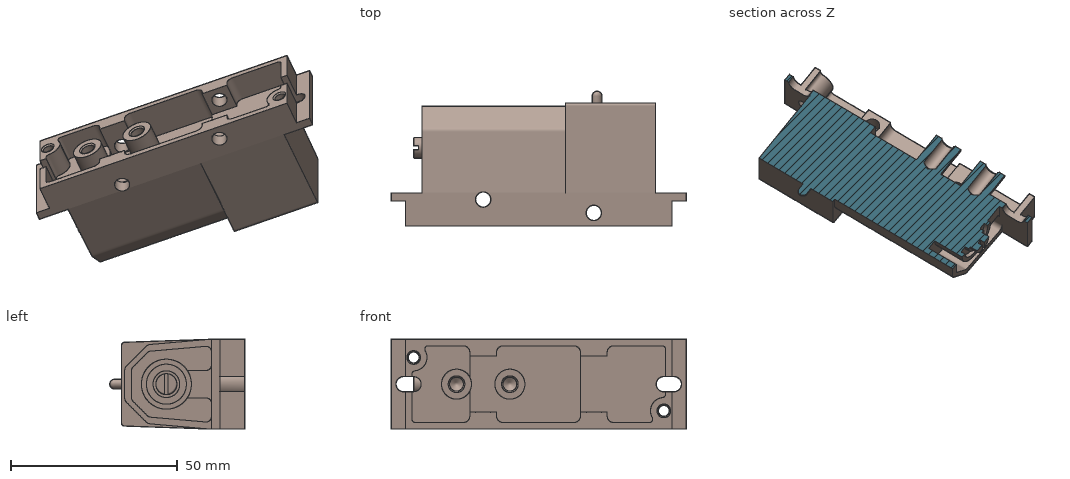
import cadquery as cq
import math

WIDTH_Z = 27.0
BODY_LENGTH = 80.0
BASE_HEIGHT = 10.0
FLANGE_LENGTH = 88.5
FLANGE_START = 7.5
SLOT_X = 39.0
SLOT_LENGTH = 7.5
SLOT_WIDTH = 4.5

CAVITY_LENGTH = 76.0
CAVITY_WIDTH = 23.0
CAVITY_DEPTH = 8.0
DEEP_CAVITY_DEPTH = 10.5
CAVITY_CORNER_RADIUS = 1.0
LEFT_PAD_X = -16.65
RIGHT_PAD_X = 16.5
PAD_LENGTH = 8.0
PAD_GAP = 16.8
PAD_CORNER_RADIUS = 2.0
CROSS_HOLE_DIAMETER = 4.5
LEFT_CROSS_HOLE_Y = 8.0
RIGHT_CROSS_HOLE_Y = 4.0

LUG_X = 37.5
LUG_Z = 8.0
LUG_RADIUS = 4.0
LUG_HOLE_DIAMETER = 3.24
LUG_SINK_DIAMETER = 4.1
BOSS_SPACING = 16.0
BOSS_XS = (LEFT_PAD_X - BOSS_SPACING / 2, LEFT_PAD_X + BOSS_SPACING / 2)
BOSS_DIAMETER = 9.0
BOSS_HOLE_DIAMETER = 4.13
BOSS_SINK_DIAMETER = 5.0
BOSS_HOLE_DEPTH = 10.0
DRILL_POINT_ANGLE = 118.0

HOUSING_START = -35.0
BLOCK_START = 8.0
HOUSING_END = 35.0
HOUSING_TOP = 36.0
HOUSING_TAPER = 5.0
HOUSING_TOP_HALF = 4.9
HOUSING_RADIUS = 2.0
BLOCK_TOP = 37.0
BLOCK_TAPER = 2.0
BLOCK_RADIUS = 1.0

HOUSING_WALL = 2.0
SHOULDER_WALL = 1.6
POCKET_DEPTH = 10.0
POCKET_CORNER_RADIUS = 1.6
POCKET_EDGE_RADIUS = 1.5
SCREW_Y = 23.5
RING_DIAMETER = 15.0
RING_RECESS_DIAMETER = 12.0
RING_RECESS_DEPTH = 1.3
HUB_DIAMETER = 8.0
RIB_WIDTH = 8.25
RIB_SETBACK = 1.0
SCREW_DIAMETER = 6.3
SCREW_HEIGHT = 2.5
SCREW_EDGE_RADIUS = 0.4
SCREW_SLOT_WIDTH = 1.1
SCREW_SLOT_DEPTH = 1.4

PIN_X = 17.5
PIN_DIAMETER = 3.0
PIN_TIP = 40.5
PIN_EMBED = 3.0

PICK_TOLERANCE = 0.01


def box(x_start, x_end, y_start, y_end, width_z):
    """Box centred on Z = 0."""
    size = (x_end - x_start, y_end - y_start, width_z)
    return cq.Workplane("XY").box(*size).translate(((x_start + x_end) / 2, (y_start + y_end) / 2, 0))


def rod_y(x, z, diameter, y_start, y_end):
    """Cylinder along Y."""
    plane = cq.Workplane("XZ", origin=(x, y_start, z))
    return plane.circle(diameter / 2).extrude(y_start - y_end)


def rod_x(diameter, x_start, x_end):
    """Cylinder on the screw axis."""
    plane = cq.Workplane("YZ", origin=(x_start, SCREW_Y, 0))
    return plane.circle(diameter / 2).extrude(x_end - x_start)


def lug_places():
    return ((-LUG_X, LUG_Z), (LUG_X, -LUG_Z))


def base_plate():
    body = box(-BODY_LENGTH / 2, BODY_LENGTH / 2, 0, BASE_HEIGHT, WIDTH_Z)
    flange = box(-FLANGE_LENGTH / 2, FLANGE_LENGTH / 2, FLANGE_START, BASE_HEIGHT, WIDTH_Z)
    return body.union(flange)


def cavity_outline(depth):
    """Cavity volume of constant depth, narrowed by the pads and the corner lugs."""
    volume = box(-CAVITY_LENGTH / 2, CAVITY_LENGTH / 2, 0, depth, CAVITY_WIDTH)
    for x in (LEFT_PAD_X, RIGHT_PAD_X):
        pads = box(x - PAD_LENGTH / 2, x + PAD_LENGTH / 2, 0, depth, CAVITY_WIDTH)
        volume = volume.cut(pads.cut(box(-CAVITY_LENGTH, CAVITY_LENGTH, 0, depth, PAD_GAP)))
    for x, z in lug_places():
        volume = volume.cut(rod_y(x, z, 2 * LUG_RADIUS, 0, depth))

    def on_outer_wall(edge):
        at = edge.Center()
        on_side = abs(abs(at.z) - CAVITY_WIDTH / 2) < PICK_TOLERANCE
        on_end = abs(abs(at.x) - CAVITY_LENGTH / 2) < PICK_TOLERANCE
        return on_side or on_end

    def beside_pad(edge):
        return abs(edge.Center().x) < RIGHT_PAD_X + PAD_LENGTH

    pad_corners = volume.edges("|Y").filter(lambda e: on_outer_wall(e) and beside_pad(e))
    volume = pad_corners.fillet(PAD_CORNER_RADIUS)
    corners = volume.edges("|Y").filter(lambda e: on_outer_wall(e) and not beside_pad(e))
    return corners.fillet(CAVITY_CORNER_RADIUS)


def cavity():
    middle = box(LEFT_PAD_X - PAD_LENGTH / 2, RIGHT_PAD_X - PAD_LENGTH / 2, 0, DEEP_CAVITY_DEPTH, WIDTH_Z)
    deep = cavity_outline(DEEP_CAVITY_DEPTH).intersect(middle)
    return cavity_outline(CAVITY_DEPTH).union(deep)


def sunk_hole(x, z, diameter, sink_diameter, depth, point):
    """Hole along Y from Y = 0 with a 45 degree sunk mouth and a conical end of the given length."""
    radius = diameter / 2
    sink_radius = sink_diameter / 2
    profile = [(0, 0), (sink_radius, 0), (radius, sink_radius - radius), (radius, depth), (0, depth + point)]
    hole = cq.Workplane("XY").polyline(profile).close().revolve(360, (0, 0, 0), (0, 1, 0))
    return hole.translate((x, 0, z))


def boss_hole(x):
    point = BOSS_HOLE_DIAMETER / 2 / math.tan(math.radians(DRILL_POINT_ANGLE / 2))
    return sunk_hole(x, 0, BOSS_HOLE_DIAMETER, BOSS_SINK_DIAMETER, BOSS_HOLE_DEPTH, point)


def lug_hole(x, z):
    return sunk_hole(x, z, LUG_HOLE_DIAMETER, LUG_SINK_DIAMETER, BASE_HEIGHT, 0)


def cross_hole(x, y):
    plane = cq.Workplane("XY", origin=(x, y, -WIDTH_Z / 2))
    return plane.circle(CROSS_HOLE_DIAMETER / 2).extrude(WIDTH_Z)


def end_slot(x):
    plane = cq.Workplane("XZ", origin=(x, 0, 0))
    return plane.slot2D(SLOT_LENGTH, SLOT_WIDTH).extrude(-BASE_HEIGHT)


def housing_prism(wall, shoulder_wall, length, radius):
    """Housing profile moved inwards by the wall thicknesses; the edges above the base are rounded."""
    taper = math.radians(HOUSING_TAPER)
    base_half = WIDTH_Z / 2 - wall / math.cos(taper)
    top = HOUSING_TOP - wall
    top_half = HOUSING_TOP + HOUSING_TOP_HALF - shoulder_wall * math.sqrt(2) - top
    rise = (top - BASE_HEIGHT + top_half - base_half) / (1 - math.tan(taper))
    shoulder = (BASE_HEIGHT + rise, base_half - rise * math.tan(taper))
    half = [(BASE_HEIGHT, base_half), shoulder, (top, top_half)]
    outline = half + [(y, -z) for y, z in reversed(half)]
    plane = cq.Workplane("YZ", origin=(HOUSING_START, 0, 0))
    prism = plane.polyline(outline).close().extrude(length)
    return prism.edges("|X").edges("not <Y").fillet(radius)


def end_pocket():
    """Pocket inside the housing wall, running around the ring and the rib that joins it to the base."""
    pocket = housing_prism(HOUSING_WALL, SHOULDER_WALL, POCKET_DEPTH, POCKET_EDGE_RADIUS)
    pocket_end = HOUSING_START + POCKET_DEPTH
    rib = box(HOUSING_START + RIB_SETBACK, pocket_end, BASE_HEIGHT, SCREW_Y, RIB_WIDTH)
    pocket = pocket.cut(rib).edges("|X").edges("<Y").fillet(POCKET_CORNER_RADIUS)
    return pocket.cut(rod_x(RING_DIAMETER, HOUSING_START, pocket_end))


def ring_recess():
    """Shallow annular recess between the ring and its hub."""
    end = HOUSING_START + RING_RECESS_DEPTH
    recess = rod_x(RING_RECESS_DIAMETER, HOUSING_START, end)
    return recess.cut(rod_x(HUB_DIAMETER, HOUSING_START, end))


def screw():
    """Slotted screw head standing on the hub."""
    head_face = HOUSING_START - SCREW_HEIGHT
    head = rod_x(SCREW_DIAMETER, head_face, HOUSING_START).faces("<X").edges().fillet(SCREW_EDGE_RADIUS)
    slot = box(
        head_face,
        head_face + SCREW_SLOT_DEPTH,
        SCREW_Y - SCREW_SLOT_WIDTH / 2,
        SCREW_Y + SCREW_SLOT_WIDTH / 2,
        SCREW_DIAMETER,
    )
    return head.cut(slot)


def block():
    """Taller block beside the housing, slightly tapered towards its top."""
    half = WIDTH_Z / 2
    top_half = half - (BLOCK_TOP - BASE_HEIGHT) * math.tan(math.radians(BLOCK_TAPER))
    outline = [(BASE_HEIGHT, half), (BLOCK_TOP, top_half), (BLOCK_TOP, -top_half), (BASE_HEIGHT, -half)]
    plane = cq.Workplane("YZ", origin=(BLOCK_START, 0, 0))
    solid = plane.polyline(outline).close().extrude(HOUSING_END - BLOCK_START)
    return solid.faces(">Y").edges("|X").fillet(BLOCK_RADIUS)


def plunger_pin():
    """Pin with a hemispherical tip."""
    tip_radius = PIN_DIAMETER / 2
    tip_start = PIN_TIP - tip_radius
    pin = rod_y(PIN_X, 0, PIN_DIAMETER, BLOCK_TOP - PIN_EMBED, tip_start)
    tip = cq.Workplane("XY").sphere(tip_radius).translate((PIN_X, tip_start, 0))
    return pin.union(tip)


housing = housing_prism(0, 0, BLOCK_START - HOUSING_START, HOUSING_RADIUS)
part = base_plate().union(housing).union(block())
part = part.cut(cavity()).cut(end_pocket()).cut(ring_recess())
part = part.union(screw()).union(plunger_pin())

for boss_x in BOSS_XS:
    part = part.union(rod_y(boss_x, 0, BOSS_DIAMETER, 0, DEEP_CAVITY_DEPTH))
    part = part.cut(boss_hole(boss_x))
for lug_x, lug_z in lug_places():
    part = part.cut(lug_hole(lug_x, lug_z))
for slot_x in (-SLOT_X, SLOT_X):
    part = part.cut(end_slot(slot_x))
part = part.cut(cross_hole(LEFT_PAD_X, LEFT_CROSS_HOLE_Y))
part = part.cut(cross_hole(RIGHT_PAD_X, RIGHT_CROSS_HOLE_Y))

result = part